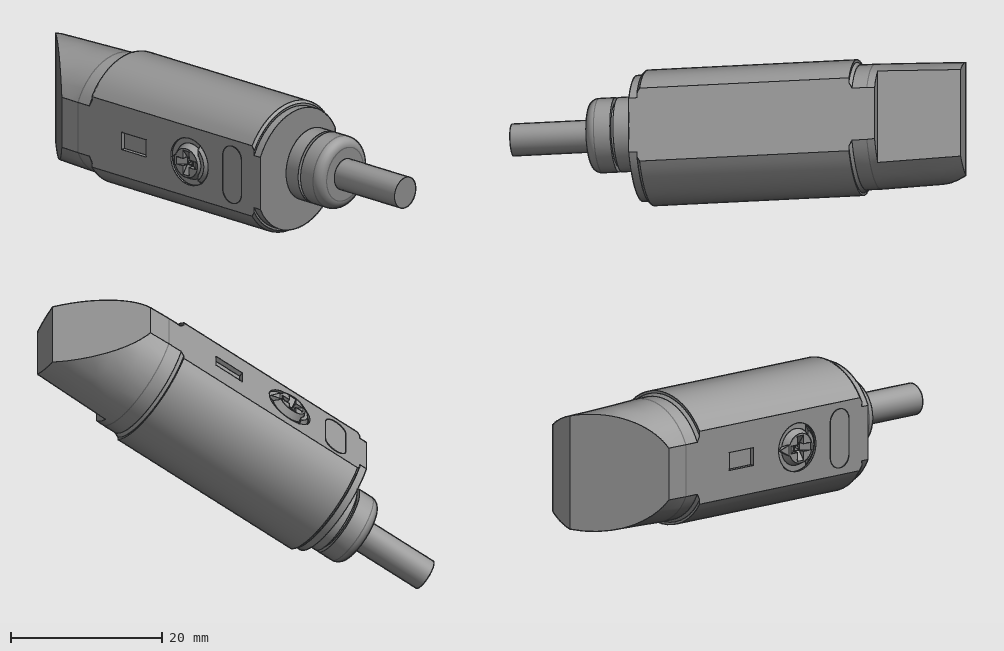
import cadquery as cq
import math

lens_end = 12.2
body_start = 14.2
body_front_rim = 14.65
body_rear_rim = 42.9
body_end = 43.25
collar_end = 44.35
groove_start = 46.5
groove_end = 46.9
gland_end = 50.4
total_length = 61.0

body_radius = 9.0
collar_radius = 8.3
rear_collar_radius = 8.35
chamfer_foot_radius = 8.65
flat_offset = 7.5

tip_radius = 7.9
lens_base_radius = collar_radius
tip_back_y = 5.3
lens_step_back_y = 5.4
lens_step_x = 11.15
bevel_start_y = 1.86
bevel_length = 9.3
lens_front_y = bevel_start_y - bevel_length

gland_radius = 4.95
gland_center_y = flat_offset - gland_radius
groove_depth = 0.75
gland_rounding = 1.3
cable_radius = 2.15

pocket_x, pocket_length, pocket_height, pocket_depth = 22.0, 4.3, 2.45, 0.6
window_x, window_width, window_height, window_depth = 39.35, 3.3, 8.05, 0.05

dial_x = 31.85
dial_protrusion = 0.7
seat_radius = 3.3
seat_depth = 0.3
dial_base_radius, dial_top_radius = 2.5, 2.0
stop_base_radius, stop_top_radius = 3.2, 2.75
stop_protrusion = 0.25
stop_edge_offset = 1.7
pointer_reach = 3.05
pointer_half_width = 0.75
cross_length, cross_width, cross_depth = 3.4, 1.05, 1.2


def cylinder(start, end, radius, center_y=0.0):
    plane = cq.Workplane("YZ", origin=(start, center_y, 0))
    return plane.circle(radius).extrude(end - start)


def front_plane(x, y):
    """XZ plane at depth y; extrusion runs outward, along -Y."""
    return cq.Workplane("XZ", origin=(x, y, 0))


def make_housing():
    profile = [
        (lens_end, 0),
        (lens_end, collar_radius),
        (body_start, collar_radius),
        (body_front_rim, chamfer_foot_radius),
        (body_front_rim, body_radius),
        (body_rear_rim, body_radius),
        (body_end, chamfer_foot_radius),
        (body_end, rear_collar_radius),
        (collar_end, rear_collar_radius),
        (collar_end, 0),
    ]
    turned = cq.Workplane("XY").polyline(profile).close().revolve(360, (0, 0, 0), (1, 0, 0))
    slab = cq.Workplane("XY").box(
        total_length, 2 * flat_offset, 2 * body_radius, centered=(False, True, True)
    )
    return turned.intersect(slab)


def make_lens():
    cone = (
        cq.Workplane("YZ")
        .circle(tip_radius)
        .workplane(offset=lens_end)
        .circle(lens_base_radius)
        .loft()
    )
    outline = [
        (0, tip_back_y),
        (lens_step_x, lens_step_back_y),
        (lens_step_x, flat_offset),
        (lens_end, flat_offset),
        (lens_end, -flat_offset),
        (bevel_length, lens_front_y),
        (0, bevel_start_y),
    ]
    envelope = cq.Workplane("XY").polyline(outline).close().extrude(body_radius, both=True)
    return cone.intersect(envelope)


def make_gland_and_cable():
    gland = cylinder(collar_end, gland_end, gland_radius, gland_center_y)
    gland = gland.faces(">X").edges().fillet(gland_rounding)
    groove = cylinder(groove_start, groove_end, gland_radius, gland_center_y).cut(
        cylinder(groove_start, groove_end, gland_radius - groove_depth, gland_center_y)
    )
    cable = cylinder(gland_end, total_length, cable_radius, gland_center_y)
    return gland.cut(groove).union(cable)


def cut_front_recesses(part):
    pocket = (
        front_plane(pocket_x, -flat_offset + pocket_depth)
        .rect(pocket_length, pocket_height)
        .extrude(pocket_depth)
    )
    window = (
        front_plane(window_x, -flat_offset + window_depth)
        .slot2D(window_height, window_width, 90)
        .extrude(window_depth)
    )
    seat = front_plane(dial_x, -flat_offset + seat_depth).circle(seat_radius).extrude(seat_depth)
    return part.cut(pocket).cut(window).cut(seat)


def frustum(base_radius, top_radius, height):
    """Cone frustum standing on the floor of the dial seat."""
    taper = math.degrees(math.atan((base_radius - top_radius) / height))
    return front_plane(dial_x, -flat_offset + seat_depth).circle(base_radius).extrude(height, taper=taper)


def make_dial():
    """Return the dial and the cross recess, which reaches below the seat floor."""
    seat_floor = front_plane(dial_x, -flat_offset + seat_depth)
    dial_height = seat_depth + dial_protrusion
    knob = frustum(dial_base_radius, dial_top_radius, dial_height)

    stop_height = seat_depth + stop_protrusion
    stop_side = (
        seat_floor.center(stop_edge_offset + seat_radius / 2, 0)
        .rect(seat_radius, 2 * seat_radius)
        .extrude(stop_height)
    )
    stop = frustum(stop_base_radius, stop_top_radius, stop_height).intersect(stop_side)

    flat_top_y = -flat_offset - dial_protrusion
    slope = [
        (dial_x, -flat_offset + seat_depth),
        (dial_x - pointer_reach, -flat_offset + seat_depth),
        (dial_x - pointer_reach, -flat_offset),
        (dial_x - dial_top_radius, flat_top_y),
        (dial_x, flat_top_y),
    ]
    sloped = cq.Workplane("XY").polyline(slope).close().extrude(seat_radius, both=True)
    arrow = [
        (-pointer_reach, 0),
        (-dial_top_radius, pointer_half_width),
        (0, pointer_half_width),
        (0, -pointer_half_width),
        (-dial_top_radius, -pointer_half_width),
    ]
    pointer = seat_floor.polyline(arrow).close().extrude(dial_height).intersect(sloped)

    v_profile = [
        (-cross_length / 2, flat_top_y),
        (0, flat_top_y + cross_depth),
        (cross_length / 2, flat_top_y),
    ]
    slot = cq.Workplane("XY").polyline(v_profile).close().extrude(cross_width / 2, both=True)
    cross = slot.union(slot.rotate((0, 0, 0), (0, 1, 0), 90)).translate((dial_x, 0, 0))
    return knob.union(stop).union(pointer), cross


result = make_housing().union(make_lens()).union(make_gland_and_cable())
dial, cross_recess = make_dial()
result = cut_front_recesses(result).union(dial).cut(cross_recess)